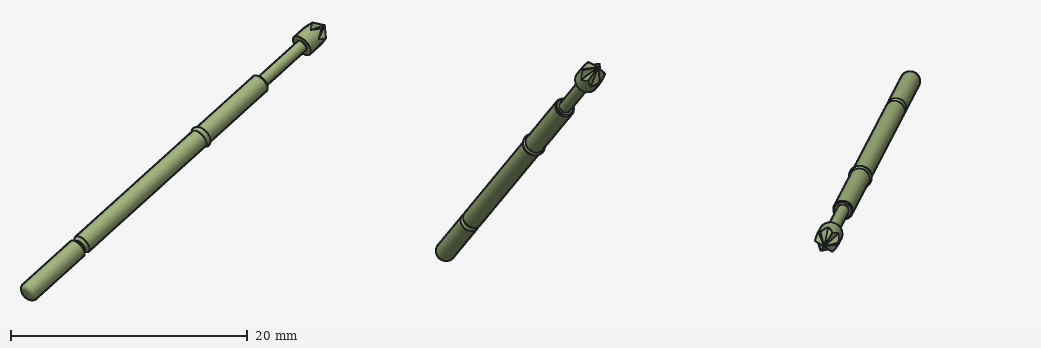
import cadquery as cq
import math

total_length = 38.7
head_radius = 1.0
head_length = 2.98
plunger_diameter = 1.05
barrel_radius = 0.85
barrel_at = 8.3
mouth_chamfer = 0.1

collar_diameter = 1.97
collar_at = 15.83
collar_length = 0.5

groove_radius = 0.6
groove_at = 31.5
groove_length = 0.6

tail_round_length = 0.4
tail_round_radius = 0.43
tail_flat_radius = 0.43

tip_points = 6
ridge_angle = 45.0
valley_angle = 29.0

tip_y = total_length / 2
tail_y = -total_length / 2


def rod(radius, start, end):
    """Round bar on the Y axis between two distances from the tip."""
    return cq.Workplane("XZ", origin=(0, tip_y - start, 0)).circle(radius).extrude(end - start)


def star_pyramid(height):
    """Star-based pyramid with its apex at the tip and ridges at +X and -X."""
    apex = cq.Vector(0, tip_y, 0)
    base_y = tip_y - height
    corners = []
    for i in range(2 * tip_points):
        slope = ridge_angle if i % 2 == 0 else valley_angle
        radius = height * math.tan(math.radians(slope))
        turn = math.pi * i / tip_points
        corners.append(cq.Vector(radius * math.cos(turn), base_y, radius * math.sin(turn)))
    faces = [cq.Face.makeFromWires(cq.Wire.makePolygon(corners, close=True))]
    for i, corner in enumerate(corners):
        side = cq.Wire.makePolygon([corners[i - 1], corner, apex], close=True)
        faces.append(cq.Face.makeFromWires(side))
    return cq.Workplane(cq.Solid.makeSolid(cq.Shell.makeShell(faces)))


def head():
    """Cylindrical head whose front is cut to the star pyramid."""
    return rod(head_radius, 0, head_length).intersect(star_pyramid(head_length))


def barrel():
    """Turned barrel: chamfered mouth, rounded collar, V groove and rounded tail."""
    mouth_y = tip_y - barrel_at
    collar_start_y = tip_y - collar_at
    collar_end_y = collar_start_y - collar_length
    groove_start_y = tip_y - groove_at
    groove_end_y = groove_start_y - groove_length
    profile = (
        cq.Workplane("XY")
        .moveTo(0, mouth_y)
        .lineTo(barrel_radius - mouth_chamfer, mouth_y)
        .lineTo(barrel_radius, mouth_y - mouth_chamfer)
        .lineTo(barrel_radius, collar_start_y)
        .threePointArc(
            (collar_diameter / 2, (collar_start_y + collar_end_y) / 2),
            (barrel_radius, collar_end_y),
        )
        .lineTo(barrel_radius, groove_start_y)
        .lineTo(groove_radius, (groove_start_y + groove_end_y) / 2)
        .lineTo(barrel_radius, groove_end_y)
        .lineTo(barrel_radius, tail_y + tail_round_length)
        .radiusArc((tail_flat_radius, tail_y), tail_round_radius)
        .lineTo(0, tail_y)
        .close()
    )
    return profile.revolve(360, (0, 0, 0), (0, 1, 0))


plunger = rod(plunger_diameter / 2, head_length, barrel_at)
result = head().union(plunger).union(barrel())